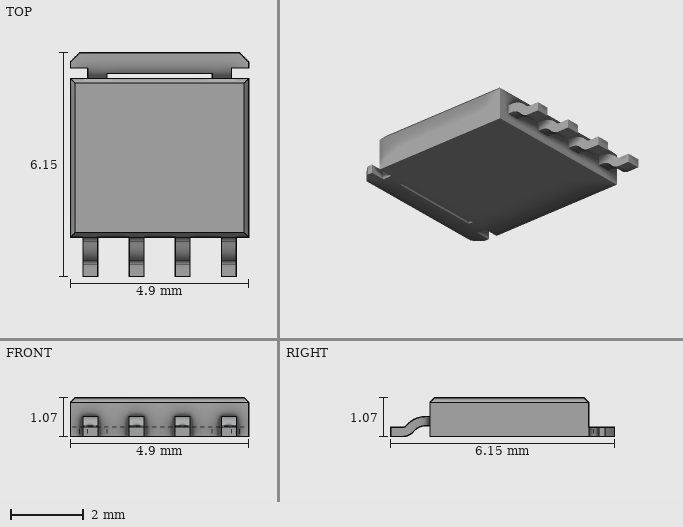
import cadquery as cq
import math

overall_depth = 6.15
body_width = 4.9
body_depth = 4.365
body_height = 1.07
body_chamfer = 0.13

metal_thickness = 0.26

lead_count = 4
lead_pitch = 1.265
lead_width = 0.41
lead_length = 1.075
lead_top = 0.555
heel_length = 0.115
foot_length = 0.33
foot_bend_radius = 0.135

tab_length = overall_depth - body_depth - lead_length
tab_corner = 0.26
tab_head_length = 0.425
tab_neck_inset = 0.475
tab_slot_inset = 1.01
tab_slot_offset = 0.58


def make_body():
    body = cq.Workplane("XY").box(body_width, body_depth, body_height, centered=(True, False, False))
    return body.faces(">Z").chamfer(body_chamfer)


def make_tab():
    half_width = body_width / 2
    neck_x = half_width - tab_neck_inset
    slot_x = half_width - tab_slot_inset
    back = body_depth + tab_length
    half_outline = [
        (0, back),
        (half_width - tab_corner, back),
        (half_width, back - tab_corner),
        (half_width, back - tab_head_length),
        (neck_x, back - tab_head_length),
        (neck_x, body_depth),
        (slot_x, body_depth),
        (slot_x, back - tab_slot_offset),
        (0, back - tab_slot_offset),
    ]
    return cq.Workplane("XY").polyline(half_outline).mirrorY().extrude(metal_thickness)


def make_lead(x_center):
    bend_start = -heel_length
    bend_end = -lead_length + foot_length
    run = bend_start - bend_end
    rise = lead_top - metal_thickness
    bend_angle = 2 * math.atan2(rise, run)
    heel_bend_radius = run / math.sin(bend_angle) - foot_bend_radius

    def heel_bend(radius, angle):
        center_z = lead_top - heel_bend_radius
        return bend_start - radius * math.sin(angle), center_z + radius * math.cos(angle)

    def foot_bend(radius, angle):
        center_z = metal_thickness + foot_bend_radius
        return bend_end + radius * math.sin(angle), center_z - radius * math.cos(angle)

    half_angle = bend_angle / 2
    heel_inner = heel_bend_radius - metal_thickness
    foot_outer = foot_bend_radius + metal_thickness

    return (
        cq.Workplane("YZ", origin=(x_center - lead_width / 2, 0, 0))
        .moveTo(0, lead_top)
        .lineTo(bend_start, lead_top)
        .threePointArc(heel_bend(heel_bend_radius, half_angle), heel_bend(heel_bend_radius, bend_angle))
        .threePointArc(foot_bend(foot_bend_radius, half_angle), (bend_end, metal_thickness))
        .lineTo(-lead_length, metal_thickness)
        .lineTo(-lead_length, 0)
        .lineTo(bend_end, 0)
        .threePointArc(foot_bend(foot_outer, half_angle), foot_bend(foot_outer, bend_angle))
        .threePointArc(heel_bend(heel_inner, half_angle), heel_bend(heel_inner, 0))
        .lineTo(0, lead_top - metal_thickness)
        .close()
        .extrude(lead_width)
    )


result = make_body().union(make_tab())
for index in range(lead_count):
    lead_x = (index - (lead_count - 1) / 2) * lead_pitch
    result = result.union(make_lead(lead_x))